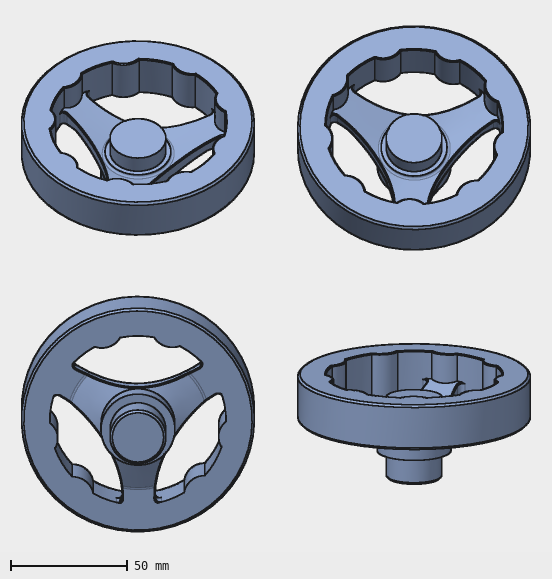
import cadquery as cq
import math


rim_diameter = 100.0
rim_height = 20.0
rim_chamfer = 1.0
bore_radius = 37.8
bore_chamfer = 0.5

grip_count = 9
grip_radius = 9.0
grip_reach = 35.2
first_grip_angle = 180.0

collar_diameter = 31.8
collar_height = 8.2
shaft_diameter = 24.0
shaft_length = 12.0
shaft_chamfer = 1.0
cap_diameter = 24.0
cap_height = 8.0

boss_radius = 28.3 / 2
boss_foot = 0.3
boss_top = 1.8
boss_foot_fillet = 1.0

hub_bottom = -5.8
web_cone_radius = collar_diameter / 2
web_flat_radius = 30.3
web_outer_radius = 40.0
web_outer_top = 8.4

window_count = 3
window_arc_radius = 54.0
window_nearest = 16.5
window_corner_radius = 2.0
window_edge_chamfer = 0.5

collar_bottom = hub_bottom - collar_height
shaft_bottom = collar_bottom - shaft_length
pick_margin = 0.1


def cylinder(radius, bottom, height):
    return cq.Workplane("XY").workplane(offset=bottom).circle(radius).extrude(height)


def polar_pattern(solid, count, first_angle):
    """Copies of a solid evenly turned about Z, combined as one tool."""
    pattern = cq.Workplane("XY")
    for index in range(count):
        angle = first_angle + index * 360.0 / count
        pattern = pattern.add(solid.rotate((0, 0, 0), (0, 0, 1), angle))
    return pattern.combine()


def make_grip():
    """Round column, chamfered on top, whose inner side stands out of the bore."""
    column = cylinder(grip_radius, 0, rim_height).edges(">Z").chamfer(bore_chamfer)
    return column.translate((grip_reach + grip_radius, 0, 0))


def make_bore():
    """Volume of a plain bore that widens by the chamfer at its upper mouth."""
    mouth = cq.Solid.makeCone(bore_radius, bore_radius + bore_chamfer, bore_chamfer)
    mouth = mouth.translate((0, 0, rim_height - bore_chamfer))
    return cylinder(bore_radius, 0, rim_height).union(mouth)


def make_rim():
    """Chamfered ring whose bore carries the finger grips."""
    disc = cylinder(rim_diameter / 2, 0, rim_height).edges().chamfer(rim_chamfer)
    grips = polar_pattern(make_grip(), grip_count, first_grip_angle)
    return disc.cut(make_bore().cut(grips))


def make_dish():
    """Solid of revolution of web, hub and boss, before the windows are cut."""
    dish = (
        cq.Workplane("XZ")
        .moveTo(0, hub_bottom)
        .lineTo(-web_cone_radius, hub_bottom)
        .lineTo(-web_flat_radius, 0)
        .lineTo(-web_outer_radius, 0)
        .lineTo(-web_outer_radius, web_outer_top)
        .lineTo(-boss_radius, boss_foot)
        .lineTo(-boss_radius, boss_top)
        .lineTo(0, boss_top)
        .close()
        .revolve(360, (0, 0), (0, 1))
    )
    around_foot_centre = cq.selectors.BoxSelector(
        (-pick_margin, -pick_margin, boss_foot - pick_margin),
        (pick_margin, pick_margin, boss_foot + pick_margin),
    )
    return dish.edges("%CIRCLE").edges(around_foot_centre).fillet(boss_foot_fillet)


def make_window():
    """Volume between two spokes: a lens between the bore and a larger arc."""
    height = boss_top - hub_bottom + web_outer_top
    bore = cylinder(bore_radius, hub_bottom, height)
    arc = cylinder(window_arc_radius, hub_bottom, height)
    arc = arc.translate((window_nearest + window_arc_radius, 0, 0))
    return bore.intersect(arc).edges("|Z").edges("<Y or >Y").fillet(window_corner_radius)


def is_window_edge(edge):
    """True for an edge around a window: neither a full turn about Z nor a straight seam."""
    centre = edge.Center()
    off_axis = math.hypot(centre.x, centre.y) > pick_margin
    return off_axis and edge.geomType() != "LINE"


def make_web():
    """Dish with the windows cut through and their edges broken."""
    pierced = make_dish().cut(polar_pattern(make_window(), window_count, 0))
    window_edges = [edge for edge in pierced.edges().vals() if is_window_edge(edge)]
    return pierced.newObject(window_edges).chamfer(window_edge_chamfer)


def make_handwheel():
    return make_rim().union(make_web())


def make_collar():
    return cylinder(collar_diameter / 2, collar_bottom, collar_height)


def make_shaft():
    shaft = cylinder(shaft_diameter / 2, shaft_bottom, shaft_length)
    return shaft.edges("<Z").chamfer(shaft_chamfer)


def make_cap():
    return cylinder(cap_diameter / 2, boss_top, cap_height)


handwheel = make_handwheel()
collar = make_collar()
shaft = make_shaft()
cap = make_cap()

result = cq.Compound.makeCompound([handwheel.val(), collar.val(), shaft.val(), cap.val()])